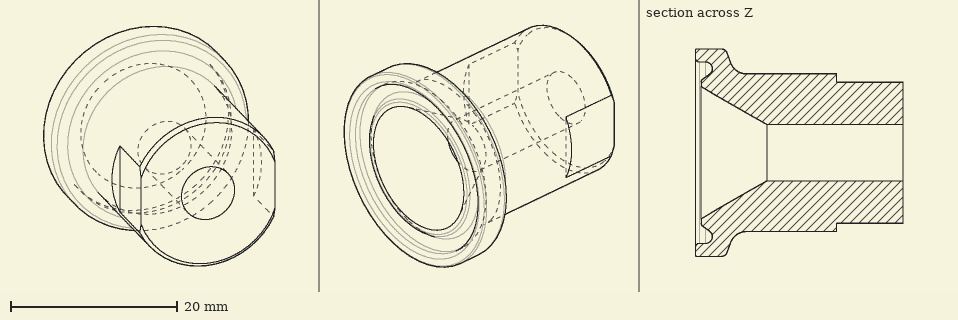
import cadquery as cq
import math

length = 25.0
flange_radius = 12.5
body_radius = 9.5

front_edge_round = 0.2
flange_straight_end = 3.12
rear_edge_round = 0.75
rear_taper = math.radians(20)
neck_round = 2.0

groove_outer_radius = 10.9
mouth_round = 0.5
groove_mouth_radius = groove_outer_radius + mouth_round
groove_round = 0.8
inner_wall_slope = math.radians(36)
lip_recess = 0.7
lip_radius = 8.5
lip_round = 0.42

bore_front_radius = 7.95
bore_rear_radius = 3.38
bore_half_angle = math.radians(30)
bore_cone_end = lip_recess + (bore_front_radius - bore_rear_radius) / math.tan(bore_half_angle)

end_chamfer = 0.5
flats_width = 17.0
flats_length = 8.0


def arc_point(center, radius, angle):
    """Point on a circle, with the angle in radians measured from +X."""
    return (center[0] + radius * math.cos(angle), center[1] + radius * math.sin(angle))


def add_arc(sketch, center, radius, start, end):
    """Draw a line to the start of an arc, then the arc itself."""
    sketch = sketch.lineTo(*arc_point(center, radius, start))
    middle = arc_point(center, radius, (start + end) / 2)
    return sketch.threePointArc(middle, arc_point(center, radius, end))


def turned_body():
    quarter = math.pi / 2

    rear_center = (flange_straight_end, flange_radius - rear_edge_round)
    taper_start = arc_point(rear_center, rear_edge_round, rear_taper)
    neck_center_radius = body_radius + neck_round
    neck_start_radius = neck_center_radius - neck_round * math.sin(rear_taper)
    neck_start_x = taper_start[0] + (taper_start[1] - neck_start_radius) * math.tan(rear_taper)
    neck_center = (neck_start_x + neck_round * math.cos(rear_taper), neck_center_radius)

    mouth_center = (mouth_round, groove_mouth_radius)
    lip_center = (lip_recess + lip_round, lip_radius)
    groove_center_radius = groove_outer_radius - groove_round
    radial_offset = (groove_center_radius - lip_radius) * math.cos(inner_wall_slope)
    axial_offset = (radial_offset - lip_round - groove_round) / math.sin(inner_wall_slope)
    groove_center = (lip_center[0] + axial_offset, groove_center_radius)

    profile = cq.Workplane("XZ").moveTo(0, groove_mouth_radius)
    profile = add_arc(profile, (front_edge_round, flange_radius - front_edge_round),
                      front_edge_round, math.pi, quarter)
    profile = add_arc(profile, rear_center, rear_edge_round, quarter, rear_taper)
    profile = add_arc(profile, neck_center, neck_round, math.pi + rear_taper, 3 * quarter)
    profile = (
        profile.lineTo(length - end_chamfer, body_radius)
        .lineTo(length, body_radius - end_chamfer)
        .lineTo(length, bore_rear_radius)
        .lineTo(bore_cone_end, bore_rear_radius)
        .lineTo(lip_recess, bore_front_radius)
    )
    profile = add_arc(profile, lip_center, lip_round, math.pi, quarter + inner_wall_slope)
    profile = add_arc(profile, groove_center, groove_round, -quarter + inner_wall_slope, quarter)
    profile = add_arc(profile, mouth_center, mouth_round, -quarter, -math.pi)
    return profile.close().revolve(360, (0, 0, 0), (1, 0, 0))


def flat_cutter(side):
    """Block that removes everything beyond one wrench flat; side is +1 or -1."""
    depth = flange_radius - flats_width / 2
    return (
        cq.Workplane("XY")
        .box(flats_length, depth, 2 * flange_radius)
        .translate((length - flats_length / 2, side * (flats_width + depth) / 2, 0))
    )


result = turned_body()
for side in (-1, 1):
    result = result.cut(flat_cutter(side))